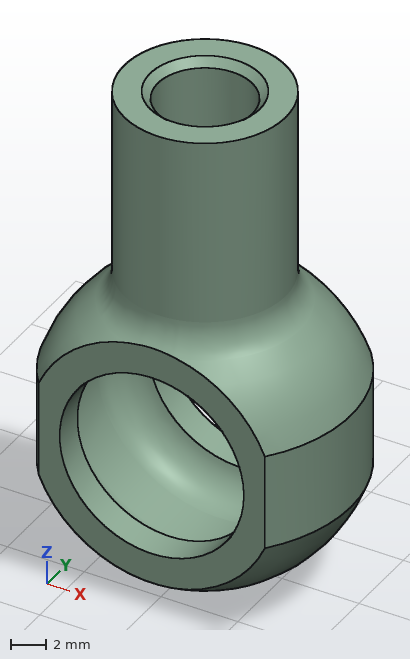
import cadquery as cq
import math


ball_radius = 10.0
waist_radius = 9.5
ring_half_width = 6.0
base_depth = 9.5
bore_radius = 6.0

groove_radius = 8.0
groove_half_width = 4.0
groove_corner_radius = 2.5

stem_radius = 5.25
stem_top = 22.0
root_fillet_radius = 2.5

socket_radius = 3.075
socket_depth = 10.0
socket_chamfer = 0.5
passage_radius = 2.0
drill_tip_angle = 118.0


def make_body():
    """Ball, waist band, root fillet and stem, turned about Z."""
    waist_half_height = math.sqrt(ball_radius**2 - waist_radius**2)
    base_radius = math.sqrt(ball_radius**2 - base_depth**2)
    waist_angle = math.atan2(waist_half_height, waist_radius)
    base_angle = math.atan2(base_depth, base_radius)
    lower_mid_angle = (waist_angle + base_angle) / 2

    fillet_x = stem_radius + root_fillet_radius
    fillet_z = math.sqrt((ball_radius + root_fillet_radius) ** 2 - fillet_x**2)
    fillet_angle = math.atan2(fillet_z, fillet_x)
    upper_mid_angle = (waist_angle + fillet_angle) / 2
    fillet_mid_angle = math.pi + fillet_angle / 2

    def on_ball(angle):
        return ball_radius * math.cos(angle), ball_radius * math.sin(angle)

    fillet_mid = (
        fillet_x + root_fillet_radius * math.cos(fillet_mid_angle),
        fillet_z + root_fillet_radius * math.sin(fillet_mid_angle),
    )
    profile = (
        cq.Workplane("XZ")
        .moveTo(0, -base_depth)
        .lineTo(base_radius, -base_depth)
        .threePointArc(on_ball(-lower_mid_angle), (waist_radius, -waist_half_height))
        .lineTo(waist_radius, waist_half_height)
        .threePointArc(on_ball(upper_mid_angle), on_ball(fillet_angle))
        .threePointArc(fillet_mid, (stem_radius, fillet_z))
        .lineTo(stem_radius, stem_top)
        .lineTo(0, stem_top)
        .close()
    )
    return profile.revolve(360, (0, 0, 0), (0, 1, 0))


def make_side_limits():
    """Slab whose two Y faces become the flat sides of the ring."""
    return cq.Workplane("XY").box(2 * stem_top, 2 * ring_half_width, 2 * stem_top)


def make_bore():
    """Ring bore with its round-cornered inner groove, turned about Y."""
    corner_centre = groove_radius - groove_corner_radius
    corner_sweep = math.acos((bore_radius - corner_centre) / groove_corner_radius)
    floor_half_width = groove_half_width - groove_corner_radius * math.sin(corner_sweep)
    mid_radius = corner_centre + groove_corner_radius * math.cos(corner_sweep / 2)
    mid_y = floor_half_width + groove_corner_radius * math.sin(corner_sweep / 2)

    profile = (
        cq.Workplane("XY")
        .moveTo(0, -ring_half_width)
        .lineTo(bore_radius, -ring_half_width)
        .lineTo(bore_radius, -groove_half_width)
        .threePointArc((mid_radius, -mid_y), (groove_radius, -floor_half_width))
        .lineTo(groove_radius, floor_half_width)
        .threePointArc((mid_radius, mid_y), (bore_radius, groove_half_width))
        .lineTo(bore_radius, ring_half_width)
        .lineTo(0, ring_half_width)
        .close()
    )
    return profile.revolve(360, (0, 0, 0), (0, 1, 0))


def make_passage():
    """Chamfered stem socket with a drill-point floor and a smaller hole into the bore."""
    mouth_radius = socket_radius + socket_chamfer
    socket_floor = stem_top - socket_depth
    cone_height = (socket_radius - passage_radius) / math.tan(math.radians(drill_tip_angle / 2))

    profile = (
        cq.Workplane("XZ")
        .lineTo(passage_radius, 0)
        .lineTo(passage_radius, socket_floor - cone_height)
        .lineTo(socket_radius, socket_floor)
        .lineTo(socket_radius, stem_top - socket_chamfer)
        .lineTo(mouth_radius, stem_top)
        .lineTo(0, stem_top)
        .close()
    )
    return profile.revolve(360, (0, 0, 0), (0, 1, 0))


result = make_body().intersect(make_side_limits()).cut(make_bore()).cut(make_passage())